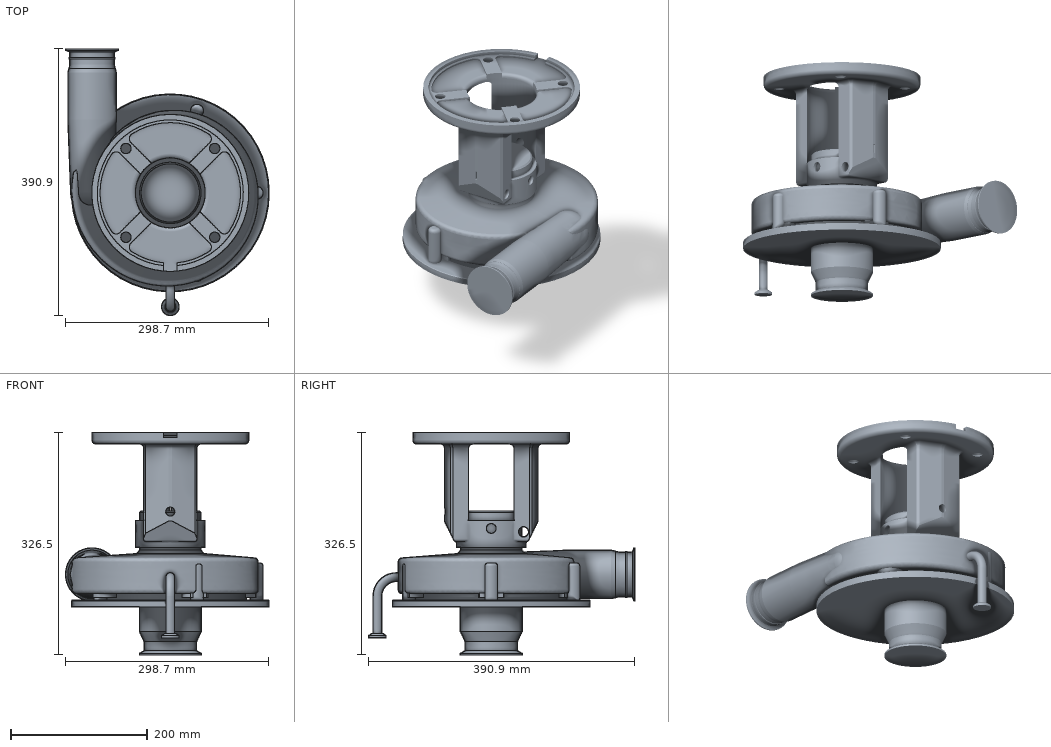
import cadquery as cq
import math


total_height = 326.5
plate_bottom = 70.6
plate_thickness = 10.0
plate_top = plate_bottom + plate_thickness
volute_bottom = 90.2
volute_top = 142.2
hub_bottom = 149.0
collar_bottom = 158.0
collar_top = 197.6
core_top = 211.4
leg_bottom = 166.7

suction_radius = 45.5
suction_neck_radius = 38.5
suction_cone_top = 34.9
suction_cone_bottom = 19.8
suction_ferrule_radius = 45.5
suction_ferrule_rim = 2.5
suction_ferrule_height = 6.5
plate_radius = 145.0
plate_chamfer = 1.0
pedestal_radius = 112.0

discharge_angle = 180.0
volute_radius_at_discharge = 144.0
volute_fall_per_turn = 30.6
volute_start_angle = 168.0
volute_end_angle = 500.0
volute_spline_spans = 24
volute_top_fillet = 6.0
volute_bottom_fillet = 5.5

boss_count = 5
boss_omitted = 2
boss_circle_radius = 126.5
boss_radius = 9.5
boss_top = 135.4
boss_top_fillet = 5.0
pad_circle_radius = 117.0
pad_radius = 19.0
pad_bottom = 84.2
pad_inset = 3.0

discharge_x = -114.7
discharge_z = 118.3
discharge_face = 211.0
discharge_ferrule_radius = 39.0
discharge_ferrule_rim = 2.0
discharge_ferrule_height = 4.2
discharge_root_radius = 33.4
discharge_neck_start = 204.3
discharge_neck_radius = 32.8
discharge_neck_end = 188.1
discharge_neck_flare_radius = 33.8
discharge_band_radius = 33.7
discharge_band_start = 196.5
discharge_band_end = 198.7
discharge_shoulder = 182.2
discharge_shoulder_length = 6.1
discharge_shoulder_radius = 34.2
discharge_radius = 35.6
discharge_taper_start = 107.0
discharge_nose_radius = 31.5

hub_radius = 49.0
core_radius = 45.0
collar_radius = 51.2
core_chamfer = 2.3
hub_top = 154.0
collar_port_diameter = 14.3
collar_port_height = 185.7

flange_radius = 115.0
flange_thickness = 17.0
flange_bottom = total_height - flange_thickness
flange_edge_fillet = 5.8
register_radius = 107.0
bore_radius = collar_radius
register_depth = 4.5
pocket_depth = 7.3
pocket_floor = total_height - pocket_depth
pocket_radius = 103.0
pocket_corner_radius = 8.0
bore_round = 6.0
spoke_width = 22.5
spoke_count = 4
first_spoke_angle = 45.0
bolt_circle_radius = 92.0
bolt_hole_diameter = 15.2
notch_width = 19.5

leg_half_width = 39.0
leg_side_depth = 56.4
leg_corner_x = 36.0
leg_corner_depth = 60.0
leg_ridge_depth = 68.7
leg_ridge_half_width = 2.5
leg_bevel_top = 196.5
leg_bevel_bottom_depth = 54.0
leg_foot_fillet = 3.0
leg_top_fillet = 6.0
leg_collar_fillet = 2.5
front_port_diameter = 13.0
front_port_height = 210.4
rear_slot_width = 2.4
leg_cross_hole_diameter = 14.5
leg_cross_hole_y = 47.3
leg_cross_hole_height = 180.8

drain_radius = 6.5
drain_height = 114.4
drain_bend_radius = 28.2
drain_y = -166.9
drain_foot_bottom = 25.5
drain_foot_rim = 3.0
drain_foot_height = 6.5
drain_foot_radius = 13.0
drain_foot_top_radius = 8.0


def cylinder(radius, bottom, top):
    """Disc or post on the pump axis."""
    return cq.Workplane("XY").workplane(offset=bottom).circle(radius).extrude(top - bottom)


def turned(points):
    """Solid turned about Z from (radius, height) points."""
    return cq.Workplane("XZ").polyline(points).close().revolve(360, (0, 0, 0), (0, 1, 0))


def polar(radius, degrees):
    angle = math.radians(degrees)
    return (radius * math.cos(angle), radius * math.sin(angle))


def volute_point(degrees, inset=0.0):
    radius = volute_radius_at_discharge - volute_fall_per_turn * (degrees - discharge_angle) / 360
    return polar(radius - inset, degrees)


def volute_outline(height, inset=0.0):
    """Closed spiral whose straight closing side lies inside the discharge pipe."""
    sweep = volute_end_angle - volute_start_angle
    step = sweep / volute_spline_spans
    points = [
        volute_point(volute_start_angle + step * i, inset)
        for i in range(volute_spline_spans + 1)
    ]
    return cq.Workplane("XY").workplane(offset=height).spline(points).close()


def level_selector(height):
    """Selects what is centred at the given height anywhere on the part."""
    tolerance = 0.5
    return cq.selectors.BoxSelector(
        (-plate_radius, -plate_radius, height - tolerance),
        (plate_radius, plate_radius, height + tolerance),
    )


def make_suction():
    return turned([
        (0, 0),
        (suction_ferrule_radius, 0),
        (suction_ferrule_radius, suction_ferrule_rim),
        (suction_neck_radius, suction_ferrule_height),
        (suction_neck_radius, suction_cone_bottom),
        (suction_radius, suction_cone_top),
        (suction_radius, plate_bottom),
        (0, plate_bottom),
    ])


def make_plate():
    plate = cylinder(plate_radius, plate_bottom, plate_top).faces(">Z").chamfer(plate_chamfer)
    return plate.union(cylinder(pedestal_radius, plate_top, volute_bottom))


def make_volute():
    """Spiral casing with a rounded rim above and below."""
    casing = volute_outline(volute_bottom).extrude(volute_top - volute_bottom)
    casing = casing.union(make_casing_roof())
    casing = casing.edges("%BSPLINE").edges(level_selector(volute_top)).fillet(volute_top_fillet)
    return casing.faces("<Z").edges().fillet(volute_bottom_fillet)


def make_casing_roof():
    """Shallow roof rising from the spiral top edge of the casing to the round hub."""
    hub_start = polar(hub_radius, volute_start_angle)
    hub_end = polar(hub_radius, volute_end_angle)
    middle_angle = (volute_start_angle + volute_end_angle) / 2
    hub_middle = polar(hub_radius, middle_angle)
    hub_gap = polar(hub_radius, middle_angle + 180)
    hub_outline = (
        cq.Workplane("XY").workplane(offset=hub_bottom)
        .moveTo(*hub_start)
        .threePointArc(hub_middle, hub_end)
        .threePointArc(hub_gap, hub_start)
    )
    base = volute_outline(volute_top)
    roof = cq.Solid.makeLoft([base.ctx.pendingWires[0], hub_outline.wire().val()], True)
    return cq.Workplane("XY").newObject([roof])


def make_bosses():
    """Round-topped bolt bosses standing on the plate, each with a pad under the casing."""
    bosses = cq.Workplane("XY")
    pads = cq.Workplane("XY")
    for i in range(boss_count):
        if i == boss_omitted:
            continue
        angle = 360 * i / boss_count
        x, y = polar(boss_circle_radius, angle)
        post = cylinder(boss_radius, plate_top, boss_top).faces(">Z").edges().fillet(boss_top_fillet)
        bosses = bosses.union(post.translate((x, y, 0)))
        pad_x, pad_y = polar(pad_circle_radius, angle)
        pad = cylinder(pad_radius, pad_bottom, volute_bottom + pad_inset)
        pads = pads.union(pad.translate((pad_x, pad_y, 0)))
    limit = volute_outline(pad_bottom, pad_inset).extrude(volute_top - pad_bottom)
    return bosses.union(pads.intersect(limit))


def make_discharge():
    shoulder_end = discharge_shoulder - discharge_shoulder_length
    pipe = turned([
        (0, discharge_face),
        (discharge_ferrule_radius, discharge_face),
        (discharge_ferrule_radius, discharge_face - discharge_ferrule_rim),
        (discharge_root_radius, discharge_face - discharge_ferrule_height),
        (discharge_neck_radius, discharge_neck_start),
        (discharge_neck_radius, discharge_band_end),
        (discharge_band_radius, discharge_band_end),
        (discharge_band_radius, discharge_band_start),
        (discharge_neck_radius, discharge_band_start),
        (discharge_neck_radius, discharge_neck_end),
        (discharge_neck_flare_radius, discharge_shoulder),
        (discharge_shoulder_radius, discharge_shoulder),
        (discharge_radius, shoulder_end),
        (discharge_radius, discharge_taper_start),
        (discharge_nose_radius, 0),
        (0, 0),
    ])
    pipe = pipe.union(cq.Workplane("XY").sphere(discharge_nose_radius))
    return pipe.rotate((0, 0, 0), (1, 0, 0), -90).translate((discharge_x, 0, discharge_z))


def make_leg():
    """Bracket leg on the -Y side, solid back to the pump axis until the bore is cut."""
    leg = (
        cq.Workplane("XY").workplane(offset=leg_bottom)
        .moveTo(-leg_half_width, 0)
        .lineTo(-leg_half_width, -leg_side_depth)
        .lineTo(-leg_corner_x, -leg_corner_depth)
        .lineTo(-leg_ridge_half_width, -leg_ridge_depth)
        .lineTo(leg_ridge_half_width, -leg_ridge_depth)
        .lineTo(leg_corner_x, -leg_corner_depth)
        .lineTo(leg_half_width, -leg_side_depth)
        .lineTo(leg_half_width, 0)
        .close()
        .extrude(flange_bottom - leg_bottom)
    )
    bevel = (
        cq.Workplane("YZ")
        .moveTo(-leg_bevel_bottom_depth, leg_bottom)
        .lineTo(-leg_ridge_depth, leg_bevel_top)
        .lineTo(-leg_ridge_depth, leg_bottom)
        .close()
        .extrude(leg_half_width, both=True)
    )
    return leg.cut(bevel).faces("<Z").edges("not >Y").fillet(leg_foot_fillet)


def make_flange():
    flange = cylinder(flange_radius, flange_bottom, total_height)
    return flange.faces("<Z").edges().fillet(flange_edge_fillet)


def make_spokes():
    spokes = cq.Workplane("XY")
    for i in range(spoke_count):
        beam = cq.Workplane("XY").box(flange_radius, spoke_width, 2 * total_height)
        beam = beam.translate((flange_radius / 2, 0, 0))
        spokes = spokes.union(beam.rotate((0, 0, 0), (0, 0, 1), first_spoke_angle + 360 * i / spoke_count))
    return spokes


def make_flange_recess():
    """Register, pockets between the spokes, rounded bore edge and rim notch, as one cutter."""
    pockets = cylinder(pocket_radius, pocket_floor, total_height).cut(make_spokes())
    outer_corners = pockets.edges("|Z").filter(
        lambda edge: math.hypot(edge.Center().x, edge.Center().y) > bore_radius)
    pockets = outer_corners.fillet(pocket_corner_radius)
    bore_edge = (
        cq.Workplane("XZ")
        .moveTo(0, pocket_floor - bore_round)
        .lineTo(bore_radius, pocket_floor - bore_round)
        .radiusArc((bore_radius + bore_round, pocket_floor), bore_round)
        .lineTo(0, pocket_floor)
        .close()
        .revolve(360, (0, 0, 0), (0, 1, 0))
    )
    register = cylinder(register_radius, total_height - register_depth, total_height)
    notch = cq.Workplane("XY").box(
        notch_width, flange_radius - bore_radius, pocket_depth, centered=(True, False, False)
    ).translate((0, -flange_radius, pocket_floor))
    return pockets.union(bore_edge.cut(make_spokes())).union(register).union(notch)


def make_bolt_holes():
    return (
        cq.Workplane("XY").workplane(offset=flange_bottom)
        .polarArray(bolt_circle_radius, first_spoke_angle, 360, spoke_count)
        .circle(bolt_hole_diameter / 2)
        .extrude(flange_thickness)
    )


def make_leg_ports():
    """Round port through the -Y leg and a narrow slot through the +Y leg at the same height."""
    port = (
        cq.Workplane("XZ").center(0, front_port_height)
        .circle(front_port_diameter / 2).extrude(flange_radius)
    )
    slot = cq.Workplane("XY").box(
        rear_slot_width, flange_radius, front_port_diameter, centered=(True, False, True)
    ).translate((0, 0, front_port_height))
    return port.union(slot)


def make_bracket():
    """Motor flange carried by two opposite legs around a common bore, standing on the collar."""
    bracket = make_flange()
    for turn in (0, 180):
        bracket = bracket.union(make_leg().rotate((0, 0, 0), (0, 0, 1), turn))
    leg_roots = bracket.edges(level_selector(flange_bottom)).edges("not %CIRCLE")
    bracket = leg_roots.fillet(leg_top_fillet)
    bracket = bracket.cut(cylinder(bore_radius, collar_top, total_height))
    bracket = bracket.union(cylinder(collar_radius, collar_bottom, collar_top))
    bracket = bracket.edges("|Z").edges(collar_corner_box()).fillet(leg_collar_fillet)
    return bracket.cut(make_flange_recess()).cut(make_bolt_holes()).cut(make_leg_ports())


def collar_corner_box():
    """Region holding the upright corners where the leg sides meet the collar."""
    margin = 1.0
    corner_depth = math.sqrt(collar_radius**2 - leg_half_width**2)
    return cq.selectors.BoxSelector(
        (-leg_half_width - margin, -corner_depth - margin, collar_bottom),
        (leg_half_width + margin, corner_depth + margin, collar_top),
    )


def make_collar_ports():
    """Radial ports along X, and one hole along X through the +Y leg and the collar wall."""
    ports = (
        cq.Workplane("YZ").center(0, collar_port_height)
        .circle(collar_port_diameter / 2).extrude(collar_radius, both=True)
    )
    cross_hole = (
        cq.Workplane("YZ").center(leg_cross_hole_y, leg_cross_hole_height)
        .circle(leg_cross_hole_diameter / 2).extrude(bore_radius, both=True)
    )
    return ports.union(cross_hole)


def make_core():
    core = cylinder(core_radius, volute_top, core_top).faces(">Z").chamfer(core_chamfer)
    flare = turned([
        (0, volute_top),
        (hub_radius, volute_top),
        (hub_radius, hub_bottom),
        (core_radius, hub_top),
        (core_radius, collar_bottom),
        (0, collar_bottom),
    ])
    return core.union(flare)


def make_drain():
    start_y = drain_y + drain_bend_radius
    bend_bottom = drain_height - drain_bend_radius
    foot_top = drain_foot_bottom + drain_foot_height
    path = (
        cq.Workplane("YZ")
        .moveTo(-pedestal_radius, drain_height)
        .lineTo(start_y, drain_height)
        .radiusArc((drain_y, bend_bottom), -drain_bend_radius)
        .lineTo(drain_y, drain_foot_bottom)
    )
    pipe = (
        cq.Workplane("XZ", origin=(0, -pedestal_radius, drain_height))
        .circle(drain_radius).sweep(path)
    )
    foot = turned([
        (0, drain_foot_bottom),
        (drain_foot_radius, drain_foot_bottom),
        (drain_foot_radius, drain_foot_bottom + drain_foot_rim),
        (drain_foot_top_radius, foot_top),
        (0, foot_top),
    ])
    return pipe.union(foot.translate((0, drain_y, 0)))


head = make_bracket().cut(make_collar_ports()).union(make_core())
result = (
    make_volute()
    .union(make_bosses())
    .union(make_discharge())
    .union(make_plate())
    .union(make_suction())
    .union(head)
    .union(make_drain())
)